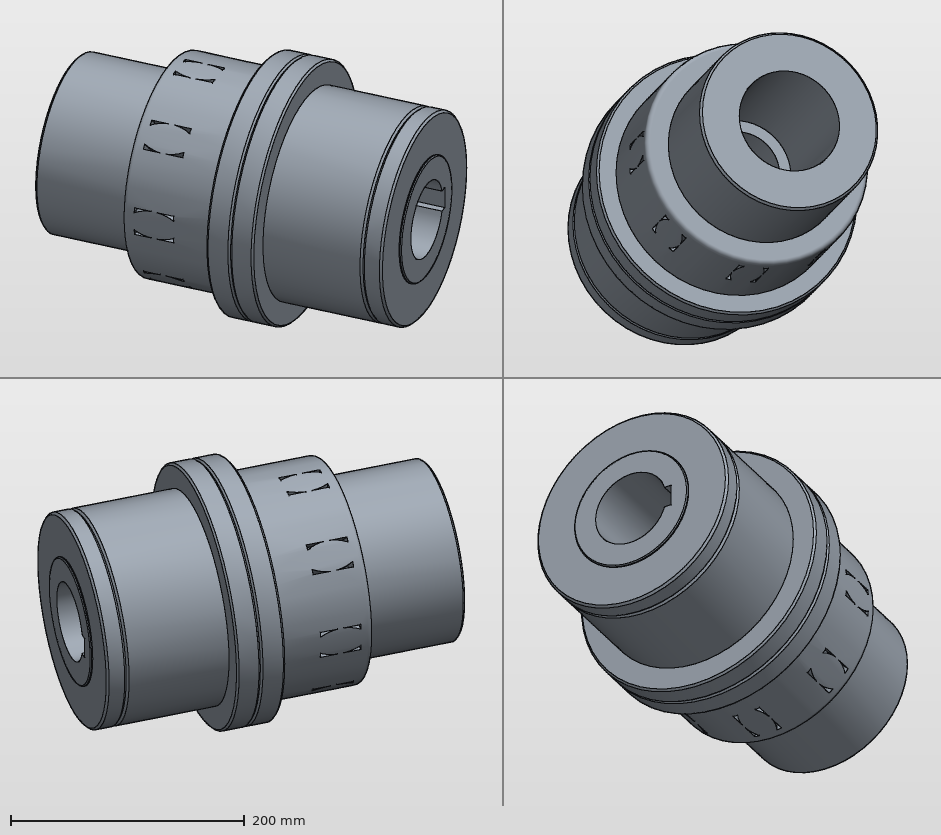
import cadquery as cq


hub_radius = 80.0
hub_length = 90.0
edge_chamfer = 2.0

sleeve_radius = 100.0
sleeve_fillet = 4.0

flange_radius = 117.0
flange_start = 174.5
flange_joint = 196.5
flange_end = 218.0
flange_chamfer = 1.8

drum_radius = 95.0
drum_joint = 310.0
drum_end = 328.0

boss_radius = 56.5
boss_chamfer = 1.0
total_length = 330.0

input_bore_radius = 45.0
output_bore_radius = 35.0
keyway_width = 20.0
keyway_reach = 40.0

element_count = 8
element_pitch = 360.0 / element_count
jaw_start = 100.5
jaw_end = 137.0
jaw_half_gap = 13.2
element_end_half_width = 8.6
element_overlap = 0.1
pocket_floor_radius = hub_radius


def disc(start, end, radius):
    """Solid cylinder on the X axis between two stations."""
    return cq.Workplane("YZ").workplane(offset=start).circle(radius).extrude(end - start)


def chamfered_ring(start, end, radius, chamfer):
    """Disc with both rims chamfered; neighbouring rings form a V groove."""
    return disc(start, end, radius).edges().chamfer(chamfer)


def make_body():
    hub = disc(0, hub_length, hub_radius).faces("<X").edges().chamfer(edge_chamfer)
    sleeve = disc(hub_length, flange_start, sleeve_radius).faces("<X").edges().fillet(sleeve_fillet)
    first_ring = chamfered_ring(flange_start, flange_joint, flange_radius, flange_chamfer)
    second_ring = chamfered_ring(flange_joint, flange_end, flange_radius, flange_chamfer)
    drum = disc(flange_end, drum_joint, drum_radius).faces(">X").edges().chamfer(edge_chamfer)
    cap = chamfered_ring(drum_joint, drum_end, drum_radius, edge_chamfer)
    boss = disc(drum_end, total_length, boss_radius).faces(">X").edges().chamfer(boss_chamfer)
    body = hub
    for section in (sleeve, first_ring, second_ring, drum, cap, boss):
        body = body.union(section)
    return body


def make_bores():
    """Large input bore, smaller output bore and its keyway towards +Y."""
    input_bore = disc(0, jaw_end, input_bore_radius)
    output_bore = disc(jaw_end, total_length, output_bore_radius)
    keyway = cq.Workplane("XY").box(
        total_length - jaw_end, keyway_reach, keyway_width, centered=(False, False, True)
    ).translate((jaw_end, 0, 0))
    return input_bore.union(output_bore).union(keyway)


def make_element_clearance():
    """Four corner slivers left around one barrel-shaped element, at the +Z side."""
    jaw_length = jaw_end - jaw_start
    jaw_middle = (jaw_start + jaw_end) / 2
    depth = sleeve_radius - pocket_floor_radius
    crown = jaw_half_gap + element_overlap
    floor = cq.Workplane("XY", origin=(jaw_middle, 0, pocket_floor_radius))
    gap = floor.rect(jaw_length, 2 * jaw_half_gap).extrude(depth)
    half_length = jaw_length / 2
    barrel = (
        floor.moveTo(-half_length, -element_end_half_width)
        .threePointArc((0, -crown), (half_length, -element_end_half_width))
        .lineTo(half_length, element_end_half_width)
        .threePointArc((0, crown), (-half_length, element_end_half_width))
        .close()
        .extrude(depth)
    )
    return gap.cut(barrel)


def cut_element_clearances(body):
    clearance = make_element_clearance()
    for index in range(element_count):
        body = body.cut(clearance.rotate((0, 0, 0), (1, 0, 0), index * element_pitch))
    return body


result = cut_element_clearances(make_body().cut(make_bores()))